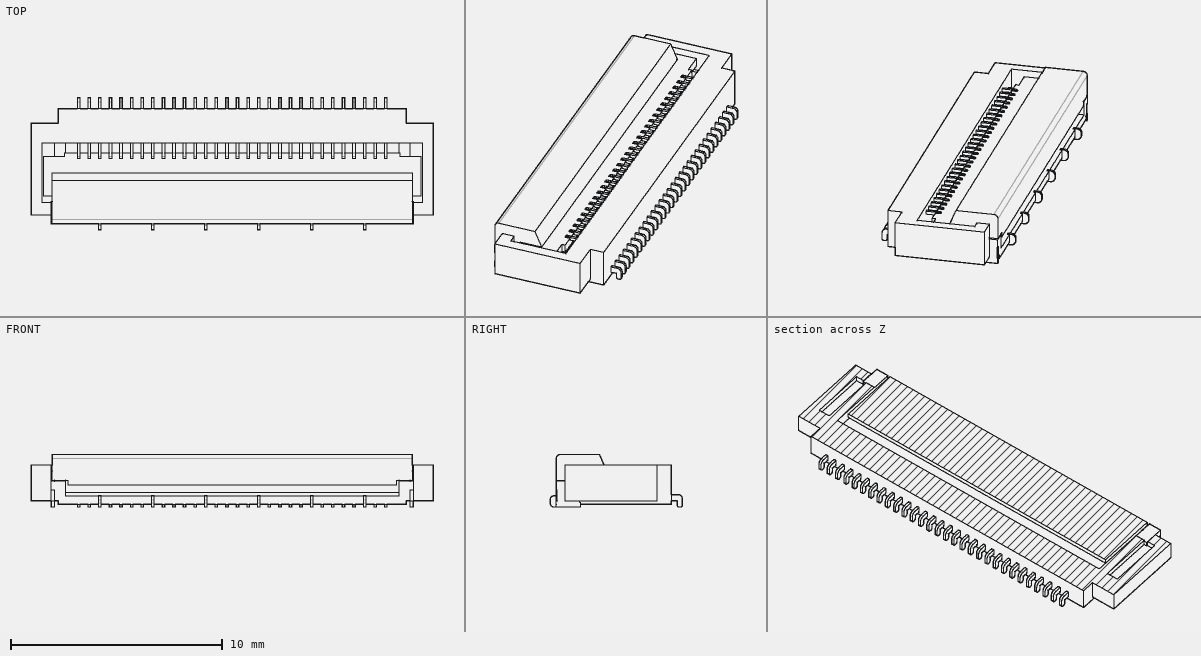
import cadquery as cq

housing_length = 19.0
housing_top = 2.0
ear_bottom = 0.3
ear_front_y = -2.43
ear_back_y = 1.92
core_half_length = 8.22
core_bottom = 0.13
core_back_y = 2.6
front_y = -2.835
shoulder_half_length = 8.39
shoulder_top = 1.27
shoulder_gap = 0.04

well_half_length = 8.97
well_front_y = -1.825
well_back_y = 0.98
well_floor = 1.0
ledge_top = 1.3

slot_half_length = 7.88
slot_entry_floor = 0.53
slot_entry_depth = 1.5
slot_ramp_length = 0.25
slot_inner_floor = 0.7

cover_half_length = 8.5
cover_top = 2.5
cover_edge_radius = 0.2
cover_underside = 1.04
cover_key_half_length = 7.76
cover_slope_top_y = -0.79
cover_slope_foot_y = -0.445
plate_top = 1.7
plate_half_length = 8.91
plate_front_y = -1.53
plate_corner_y = 0.35
plate_back_y = 0.52
plate_tongue_half_length = 7.93

nail_outer_x = 8.55
nail_thickness = nail_outer_x - shoulder_half_length
nail_back_y = -1.68
nail_foot_slant = 0.1
nail_top = shoulder_top - shoulder_gap
nail_notch_depth = 0.045
nail_notch_bottom = 0.3
nail_notch_top = 0.82

contact_count = 30
contact_pitch = 0.5
contact_width = 0.13
tail_tip_y = 3.125
tail_thickness = 0.25
tail_top = 0.6
tail_underside = 0.3
tail_bend_radius = 0.2
tail_tip_radius = 0.1
beam_tip_y = 0.235
beam_bottom = 1.6
beam_top = 1.75
beam_tip_radius = 0.1
front_tab_count = 6
front_tab_pitch = 2.5
front_tab_tip_y = -3.125
front_tab_top = 0.55
front_tab_tip_radius = 0.2

overlap = 0.1


def span_box(half_length, y_min, y_max, z_min, z_max):
    """Box centred on X = 0 between the given Y and Z limits."""
    return cq.Workplane("XY").box(
        2 * half_length, y_max - y_min, z_max - z_min, centered=(True, False, False)
    ).translate((0, y_min, z_min))


def side_profile(points, width):
    """Extrude a closed (Y, Z) outline along X, centred on X = 0."""
    return cq.Workplane("YZ").polyline(points).close().extrude(width / 2, both=True)


def row_positions(count, pitch):
    """X positions of a centred row."""
    return [(i - (count - 1) / 2) * pitch for i in range(count)]


def make_housing():
    ears = span_box(housing_length / 2, ear_front_y, ear_back_y, ear_bottom, housing_top)
    core = span_box(core_half_length, front_y, core_back_y, core_bottom, housing_top)
    shoulders = span_box(shoulder_half_length, front_y, ear_front_y + overlap, ear_bottom, shoulder_top)
    housing = ears.union(core).union(shoulders)

    well = span_box(well_half_length, well_front_y, well_back_y, well_floor, cover_top)
    ledge = span_box(shoulder_half_length, well_front_y, well_back_y, well_floor, ledge_top)
    front_gap = span_box(nail_outer_x, front_y, well_front_y, shoulder_top - shoulder_gap, cover_top)
    housing = housing.cut(well.cut(ledge)).cut(front_gap)

    ramp_foot_y = front_y + slot_entry_depth
    slot = side_profile(
        [
            (front_y, slot_entry_floor),
            (ramp_foot_y, slot_entry_floor),
            (ramp_foot_y + slot_ramp_length, slot_inner_floor),
            (well_back_y, slot_inner_floor),
            (well_back_y, cover_top),
            (front_y, cover_top),
        ],
        2 * slot_half_length,
    )
    return housing.cut(slot)


def make_cover():
    bar = side_profile(
        [
            (front_y, shoulder_top),
            (front_y, cover_top),
            (cover_slope_top_y, cover_top),
            (cover_slope_foot_y, plate_top),
            (cover_slope_foot_y, shoulder_top),
        ],
        2 * cover_half_length,
    )
    bar = bar.edges("|X").edges(">Z").edges("<Y").fillet(cover_edge_radius)
    key = span_box(cover_key_half_length, front_y, plate_corner_y, cover_underside, shoulder_top)
    plate = span_box(plate_half_length, plate_front_y, plate_corner_y, shoulder_top, plate_top)
    tongue = span_box(
        plate_tongue_half_length, plate_corner_y - overlap, plate_back_y, shoulder_top, plate_top
    )
    return bar.union(key).union(plate).union(tongue)


def make_nail(side):
    """Upright metal strip beside the shoulder; side is -1 or +1."""
    strip = side_profile(
        [
            (front_y, 0),
            (nail_back_y, 0),
            (nail_back_y, ear_bottom - nail_foot_slant),
            (nail_back_y - nail_foot_slant, ear_bottom),
            (nail_back_y - nail_foot_slant, nail_top),
            (front_y, nail_top),
            (front_y, nail_notch_top),
            (front_y + nail_notch_depth, nail_notch_top),
            (front_y + nail_notch_depth, nail_notch_bottom),
            (front_y, nail_notch_bottom),
        ],
        nail_thickness,
    )
    return strip.translate((side * (nail_outer_x - nail_thickness / 2), 0, 0))


def make_solder_tail():
    tail = side_profile(
        [
            (core_back_y - overlap, tail_underside),
            (tail_tip_y - tail_thickness, tail_underside),
            (tail_tip_y - tail_thickness, 0),
            (tail_tip_y, 0),
            (tail_tip_y, tail_top),
            (core_back_y - overlap, tail_top),
        ],
        contact_width,
    )
    tail = tail.edges("|X").edges(">Y and >Z").fillet(tail_bend_radius)
    return tail.faces("<Z").edges("|X").fillet(tail_tip_radius)


def make_spring_beam():
    beam = span_box(contact_width / 2, beam_tip_y, well_back_y + overlap, beam_bottom, beam_top)
    return beam.edges("|X").edges("<Y").edges(">Z").fillet(beam_tip_radius)


def make_front_tab():
    tab = span_box(contact_width / 2, front_tab_tip_y, front_y + overlap, 0, front_tab_top)
    return tab.faces("<Y").edges("|X").fillet(front_tab_tip_radius)


result = make_housing().union(make_cover())

for side in (-1, 1):
    result = result.union(make_nail(side))

contact = make_solder_tail().add(make_spring_beam())
for x in row_positions(contact_count, contact_pitch):
    for piece in contact.vals():
        result = result.union(cq.Workplane(piece.translate(cq.Vector(x, 0, 0))))

front_tab = make_front_tab()
for x in row_positions(front_tab_count, front_tab_pitch):
    result = result.union(front_tab.translate((x, 0, 0)))